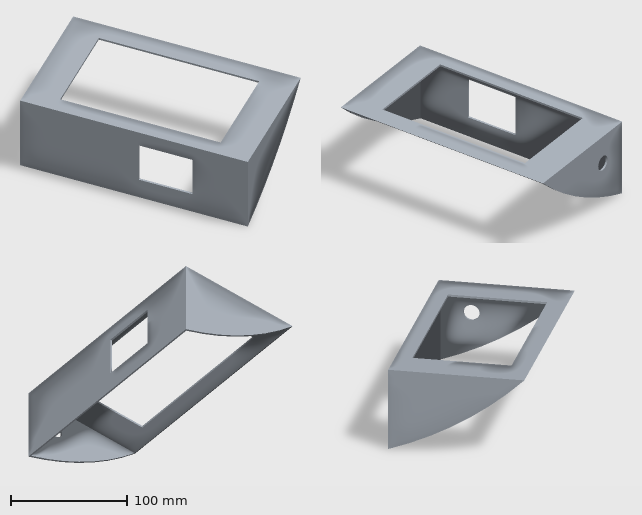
import cadquery as cq
import math

length = 212.0
depth = 119.8
height = 73.5
wall = 2.0

edge_bulge = 7.8

top_opening_left = 31.2
top_opening_front = 14.8
top_opening_length = 149.5
top_opening_depth = 87.1

window_left = 110.5
window_bottom = 20.0
window_length = 50.0
window_height = 39.0

hole_diameter = 14.0
hole_from_front = 29.3
hole_below_top = 27.1


def box_at(x, y, z, size_x, size_y, size_z):
    """Box whose lowest corner is at (x, y, z)."""
    return cq.Workplane("XY").box(size_x, size_y, size_z, centered=False).translate((x, y, z))


def wedge_body():
    """Solid side profile, with a curved lower edge, swept along the length."""
    chord = math.hypot(depth, height)
    arc_middle = (
        depth / 2 + edge_bulge * height / chord,
        height / 2 - edge_bulge * depth / chord,
    )
    return (
        cq.Workplane("YZ")
        .moveTo(0, 0)
        .threePointArc(arc_middle, (depth, height))
        .lineTo(0, height)
        .close()
        .extrude(length)
    )


cavity = box_at(wall, wall, 0, length - 2 * wall, depth, height - wall)

top_opening = box_at(
    top_opening_left, top_opening_front, height - wall, top_opening_length, top_opening_depth, wall
)

front_window = box_at(window_left, 0, window_bottom, window_length, wall, window_height)

side_hole = (
    cq.Workplane("YZ")
    .center(hole_from_front, height - hole_below_top)
    .circle(hole_diameter / 2)
    .extrude(wall)
)

result = wedge_body().cut(cavity).cut(top_opening).cut(front_window).cut(side_hole)